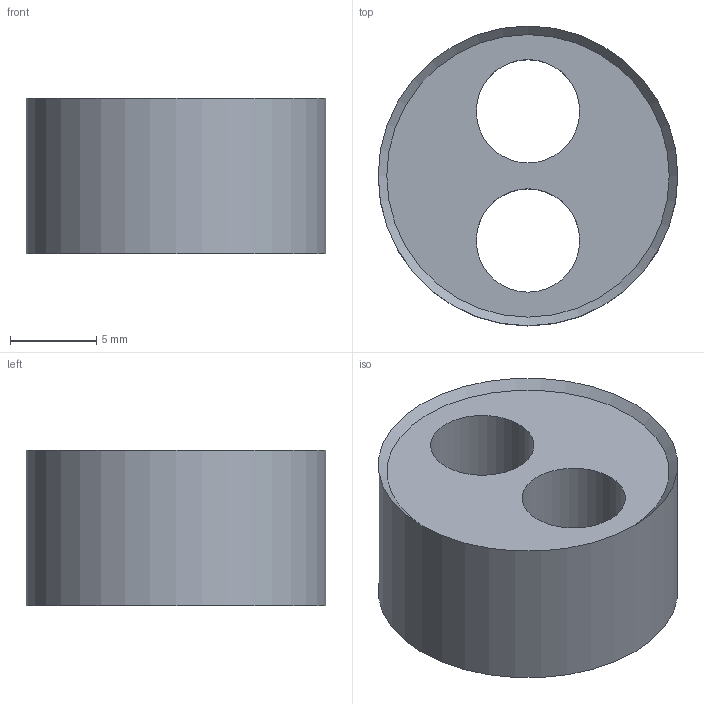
import cadquery as cq

body_diameter = 17.4
body_height = 9.0

recess_depth = 0.5
recess_wall_run = 0.5

hole_diameter = 6.0
hole_spacing = 7.5


def make_body():
    """Cylinder with a dished top, revolved about Z, with its base at Z = 0."""
    rim_radius = body_diameter / 2
    floor_radius = rim_radius - recess_wall_run
    floor_height = body_height - recess_depth
    return (
        cq.Workplane("XZ")
        .moveTo(0, 0)
        .lineTo(rim_radius, 0)
        .lineTo(rim_radius, body_height)
        .lineTo(floor_radius, floor_height)
        .lineTo(0, floor_height)
        .close()
        .revolve(360, (0, 0, 0), (0, 1, 0))
    )


def make_holes():
    """Cylinders that cut the pair of through holes."""
    hole_centers = [(0, side * hole_spacing / 2) for side in (-1, 1)]
    return (
        cq.Workplane("XY")
        .pushPoints(hole_centers)
        .circle(hole_diameter / 2)
        .extrude(body_height)
    )


result = make_body().cut(make_holes())